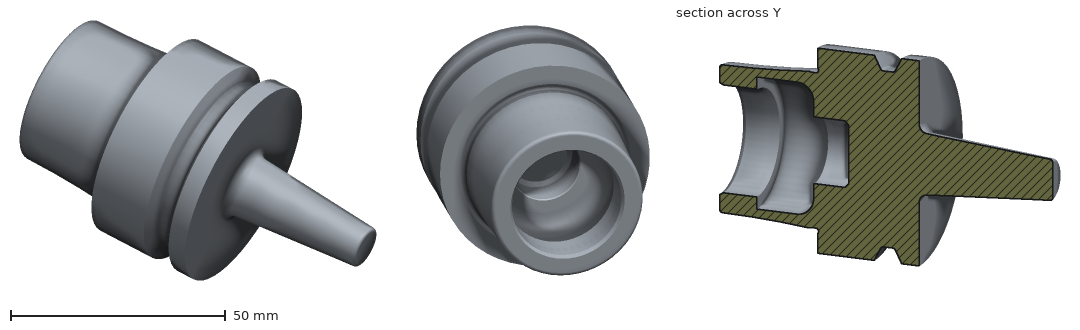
import cadquery as cq
import math


QUARTER = math.pi / 2

SHANK_LENGTH = 24.9
SHANK_TIP_RADIUS = 18.05
SHANK_BASE_RADIUS = 19.1
SHANK_TIP_ROUND = 0.9
SHANK_BASE_X = -2.1
NECK_RADIUS = 18.95
NECK_START_X = -1.35

RELIEF_OUTER_RADIUS = 20.4
RELIEF_FILLET_START_X = -0.35
RELIEF_FILLET = 0.63
RELIEF_CONE_ANGLE = math.radians(30)

FLANGE_RADIUS = 25.0
FLANGE_WIDTH = 26.0
GRIP_CENTRE_X = 18.0
GRIP_MOUTH_WIDTH = 6.9
GRIP_FLOOR_RADIUS = 21.45
GRIP_WALL_ANGLE = math.radians(27)
GRIP_FLOOR_FILLET = 0.8

NOSE_END_X = 60.0
NOSE_END_RADIUS = 5.0
NOSE_TAPER = math.radians(4.5)
NOSE_ROOT_FILLET = 2.0
NOSE_END_ROUND = 0.8

MOUTH_RADIUS = 13.6
BORE_RADIUS = 13.05
MOUTH_CHAMFER_DEPTH = 1.0
BORE_DEPTH = 9.6
CHAMBER_RADIUS = 16.0
CHAMBER_STRAIGHT_DEPTH = 19.7
CHAMBER_FLOOR_FILLET = 4.2
WELL_MOUTH_RADIUS = 8.3
WELL_RADIUS = 8.05
WELL_FLOOR_RADIUS = 7.05
WELL_DEPTH = 9.0


def arc_end(start, heading, turn, radius):
    """End of an arc that leaves start along heading; a positive turn is anticlockwise."""
    side = math.copysign(radius, turn)
    x = start[0] + side * (math.sin(heading + turn) - math.sin(heading))
    y = start[1] - side * (math.cos(heading + turn) - math.cos(heading))
    return (x, y)


def add_arc(profile, start, heading, turn, radius):
    """Add to a profile that has reached start an arc given by its heading, turn and radius."""
    middle = arc_end(start, heading, turn / 2, radius)
    return profile.threePointArc(middle, arc_end(start, heading, turn, radius))


def add_shank(profile):
    """Rounded tip, swelling outline and neck."""
    tip = (-SHANK_LENGTH, SHANK_TIP_RADIUS - SHANK_TIP_ROUND)
    round_end = (tip[0] + SHANK_TIP_ROUND, SHANK_TIP_RADIUS)
    run = SHANK_BASE_X - round_end[0]
    rise = SHANK_BASE_RADIUS - SHANK_TIP_RADIUS
    swell_radius = (run**2 + rise**2) / (2 * rise)
    swell_turn = math.asin(run / swell_radius)

    profile = profile.moveTo(tip[0], 0).lineTo(*tip)
    profile = add_arc(profile, tip, QUARTER, -QUARTER, SHANK_TIP_ROUND)
    profile = add_arc(profile, round_end, 0, swell_turn, swell_radius)
    return profile.lineTo(NECK_START_X, NECK_RADIUS)


def add_relief(profile):
    """Groove sunk into the locating face: a fillet off the neck, then a cone."""
    start = (RELIEF_FILLET_START_X, NECK_RADIUS)
    turn = QUARTER + RELIEF_CONE_ANGLE
    profile = add_arc(profile.lineTo(*start), start, 0, turn, RELIEF_FILLET)
    return profile.lineTo(0, RELIEF_OUTER_RADIUS)


def add_flange(profile):
    """Flange rim with a V-sided gripper groove filleted at its floor."""
    half_mouth = GRIP_MOUTH_WIDTH / 2
    wall_run = (FLANGE_RADIUS - GRIP_FLOOR_RADIUS) * math.tan(GRIP_WALL_ANGLE)
    half_floor = half_mouth - wall_run
    wall_heading = GRIP_WALL_ANGLE - QUARTER
    turn = QUARTER - GRIP_WALL_ANGLE
    tangent = GRIP_FLOOR_FILLET * math.tan(turn / 2)
    left_start = (
        GRIP_CENTRE_X - half_floor - tangent * math.sin(GRIP_WALL_ANGLE),
        GRIP_FLOOR_RADIUS + tangent * math.cos(GRIP_WALL_ANGLE),
    )
    right_start = (GRIP_CENTRE_X + half_floor - tangent, GRIP_FLOOR_RADIUS)

    profile = profile.lineTo(0, FLANGE_RADIUS).lineTo(GRIP_CENTRE_X - half_mouth, FLANGE_RADIUS)
    profile = profile.lineTo(*left_start)
    profile = add_arc(profile, left_start, wall_heading, turn, GRIP_FLOOR_FILLET)
    profile = profile.lineTo(*right_start)
    profile = add_arc(profile, right_start, 0, turn, GRIP_FLOOR_FILLET)
    profile = profile.lineTo(GRIP_CENTRE_X + half_mouth, FLANGE_RADIUS)
    return profile.lineTo(FLANGE_WIDTH, FLANGE_RADIUS)


def add_nose(profile):
    """Tapered nose, filleted at its root and rounded at its end."""

    def cone_radius(x):
        return NOSE_END_RADIUS + (NOSE_END_X - x) * math.tan(NOSE_TAPER)

    root_turn = QUARTER - NOSE_TAPER
    root_length = NOSE_ROOT_FILLET * (1 - math.sin(NOSE_TAPER))
    root_height = NOSE_ROOT_FILLET * math.cos(NOSE_TAPER)
    root_start = (FLANGE_WIDTH, cone_radius(FLANGE_WIDTH + root_length) + root_height)
    round_turn = NOSE_TAPER - QUARTER
    round_start_x = NOSE_END_X - NOSE_END_ROUND * (1 - math.sin(NOSE_TAPER))
    round_start = (round_start_x, cone_radius(round_start_x))

    profile = profile.lineTo(*root_start)
    profile = add_arc(profile, root_start, -QUARTER, root_turn, NOSE_ROOT_FILLET)
    profile = profile.lineTo(*round_start)
    profile = add_arc(profile, round_start, -NOSE_TAPER, round_turn, NOSE_END_ROUND)
    return profile.lineTo(NOSE_END_X, 0)


def revolve_about_x(profile):
    """Close a profile of (x, radius) points along the axis and turn it about X."""
    return profile.close().revolve(360, (0, 0, 0), (1, 0, 0))


def make_body():
    """Solid outer shape of the holder."""
    profile = cq.Workplane("XY")
    for add_section in (add_shank, add_relief, add_flange, add_nose):
        profile = add_section(profile)
    return revolve_about_x(profile)


def make_cavity():
    """Chamfered bore, wider clamping chamber and a central well, all open to the shank tip."""
    fillet_start = (CHAMBER_STRAIGHT_DEPTH, CHAMBER_RADIUS)
    floor = CHAMBER_STRAIGHT_DEPTH + CHAMBER_FLOOR_FILLET
    well_floor = floor + WELL_DEPTH
    mouth_bevel = WELL_MOUTH_RADIUS - WELL_RADIUS
    floor_bevel = WELL_RADIUS - WELL_FLOOR_RADIUS

    profile = (
        cq.Workplane("XY")
        .moveTo(0, 0)
        .lineTo(0, MOUTH_RADIUS)
        .lineTo(MOUTH_CHAMFER_DEPTH, BORE_RADIUS)
        .lineTo(BORE_DEPTH, BORE_RADIUS)
        .lineTo(BORE_DEPTH, CHAMBER_RADIUS)
        .lineTo(*fillet_start)
    )
    profile = add_arc(profile, fillet_start, 0, -QUARTER, CHAMBER_FLOOR_FILLET)
    profile = (
        profile.lineTo(floor, WELL_MOUTH_RADIUS)
        .lineTo(floor + mouth_bevel, WELL_RADIUS)
        .lineTo(well_floor - floor_bevel, WELL_RADIUS)
        .lineTo(well_floor, WELL_FLOOR_RADIUS)
        .lineTo(well_floor, 0)
    )
    return revolve_about_x(profile).translate((-SHANK_LENGTH, 0, 0))


result = make_body().cut(make_cavity())